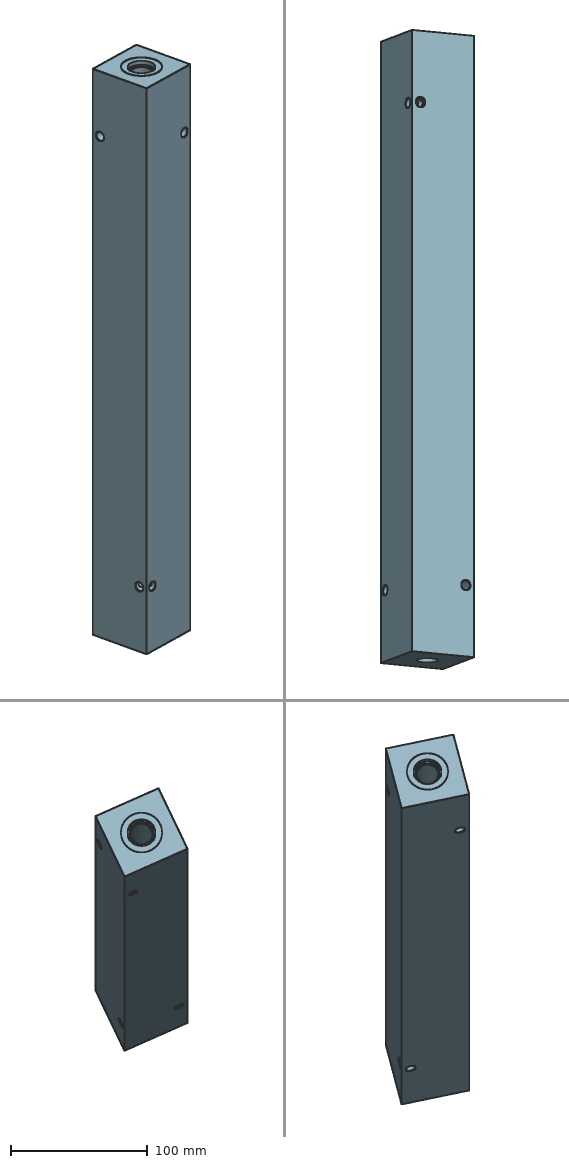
import cadquery as cq

length = 463.5
width = 51.0
edge_chamfer = 0.25

bore_diameter = 15.8
bore_chamfer = 1.0
counterbore_diameter = 20.5
counterbore_depth = 3.5
seat_diameter = 30.0
seat_depth = 0.5

cross_hole_diameter = 7.0
cross_hole_chamfer = 0.5
cross_hole_edge_distance = 7.0
cross_hole_end_distance = 53.5

cross_hole_offset = width / 2 - cross_hole_edge_distance
cross_hole_height = length / 2 - cross_hole_end_distance


def cut_axial_bore(body):
    """Cut the seat, the counterbore and the through bore with its chamfered mouth."""
    seat_radius = seat_diameter / 2
    counterbore_radius = counterbore_diameter / 2
    bore_radius = bore_diameter / 2
    top = length / 2
    seat_floor = top - seat_depth
    counterbore_floor = top - counterbore_depth
    profile = [
        (0, top),
        (seat_radius, top),
        (seat_radius, seat_floor),
        (counterbore_radius, seat_floor),
        (counterbore_radius, counterbore_floor),
        (bore_radius + bore_chamfer, counterbore_floor),
        (bore_radius, counterbore_floor - bore_chamfer),
        (bore_radius, -top),
        (0, -top),
    ]
    cutter = cq.Workplane("XZ").polyline(profile).close().revolve(360, (0, 0), (0, 1))
    return body.cut(cutter)


def make_cross_hole():
    """Cutter along Z, as long as the bar is wide, with a chamfer at both mouths."""
    half_width = width / 2
    hole_radius = cross_hole_diameter / 2
    mouth_radius = hole_radius + cross_hole_chamfer
    chamfer_start = half_width - cross_hole_chamfer
    profile = [
        (0, -half_width),
        (mouth_radius, -half_width),
        (hole_radius, -chamfer_start),
        (hole_radius, chamfer_start),
        (mouth_radius, half_width),
        (0, half_width),
    ]
    return cq.Workplane("XZ").polyline(profile).close().revolve(360, (0, 0), (0, 1))


def cut_cross_holes(body):
    """Cut one hole along X and one along Y at each end, on opposite sides of the bar at the two ends."""
    along_x = make_cross_hole().rotate((0, 0, 0), (0, 1, 0), 90)
    along_y = make_cross_hole().rotate((0, 0, 0), (1, 0, 0), 90)
    for end in (1, -1):
        offset = end * cross_hole_offset
        height = end * cross_hole_height
        body = body.cut(along_x.translate((0, offset, height)))
        body = body.cut(along_y.translate((-offset, 0, height)))
    return body


bar = cq.Workplane("XY").box(width, width, length).edges().chamfer(edge_chamfer)
bored_bar = cut_axial_bore(bar)
result = cut_cross_holes(bored_bar)